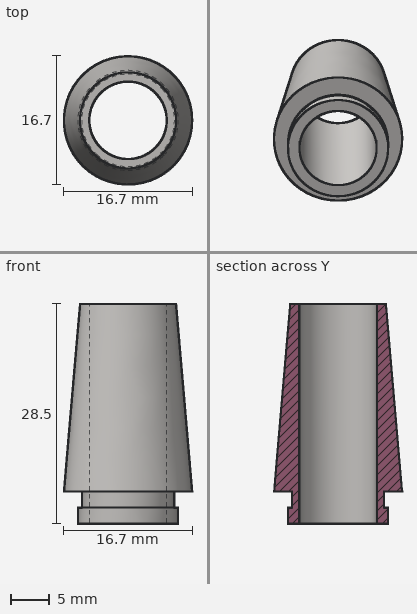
import cadquery as cq

height = 28.5
bore_diameter = 10.0

flange_diameter = 13.0
flange_height = 2.1
neck_diameter = 12.0
neck_height = 2.05

body_base_diameter = 16.65
body_top_diameter = 12.45
body_base_z = flange_height + neck_height
body_height = height - body_base_z


def make_flange():
    return cq.Workplane("XY").circle(flange_diameter / 2).extrude(flange_height)


def make_neck():
    return cq.Workplane("XY").circle(neck_diameter / 2).extrude(body_base_z)


def make_body():
    """Straight-sided cone, widest where it meets the neck."""
    return (
        cq.Workplane("XY")
        .workplane(offset=body_base_z)
        .circle(body_base_diameter / 2)
        .workplane(offset=body_height)
        .circle(body_top_diameter / 2)
        .loft(ruled=True)
    )


def make_bore():
    return cq.Workplane("XY").circle(bore_diameter / 2).extrude(height)


result = make_flange().union(make_neck()).union(make_body()).cut(make_bore())